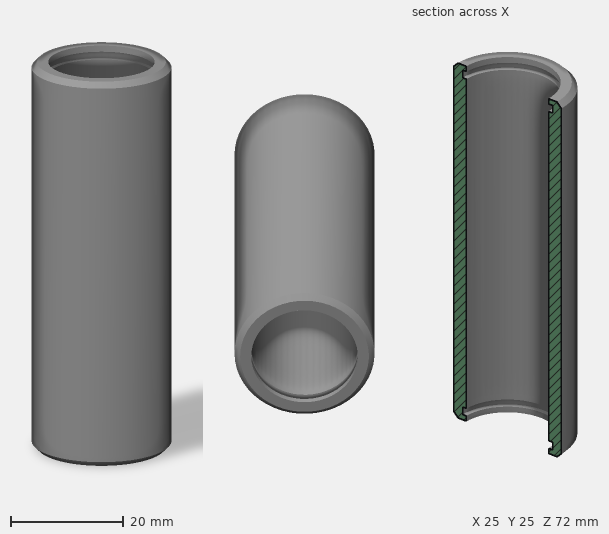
import cadquery as cq

length = 72.0
outer_diameter = 25.0
bore_diameter = 19.0
end_chamfer = 1.0

groove_offset = 1.15
groove_width = 1.45
groove_depth = 0.9


def make_sleeve():
    """Plain tube standing on the XY plane with both outer rims chamfered."""
    body = cq.Workplane("XY").circle(outer_diameter / 2).extrude(length)
    body = body.faces("<Z or >Z").edges().chamfer(end_chamfer)
    bore = cq.Workplane("XY").circle(bore_diameter / 2).extrude(length)
    return body.cut(bore)


def make_groove(bottom):
    """Disc that cuts a ring groove into the bore wall, starting at height bottom."""
    groove_radius = bore_diameter / 2 + groove_depth
    return cq.Workplane("XY").workplane(offset=bottom).circle(groove_radius).extrude(groove_width)


result = make_sleeve()
for groove_bottom in (groove_offset, length - groove_offset - groove_width):
    result = result.cut(make_groove(groove_bottom))